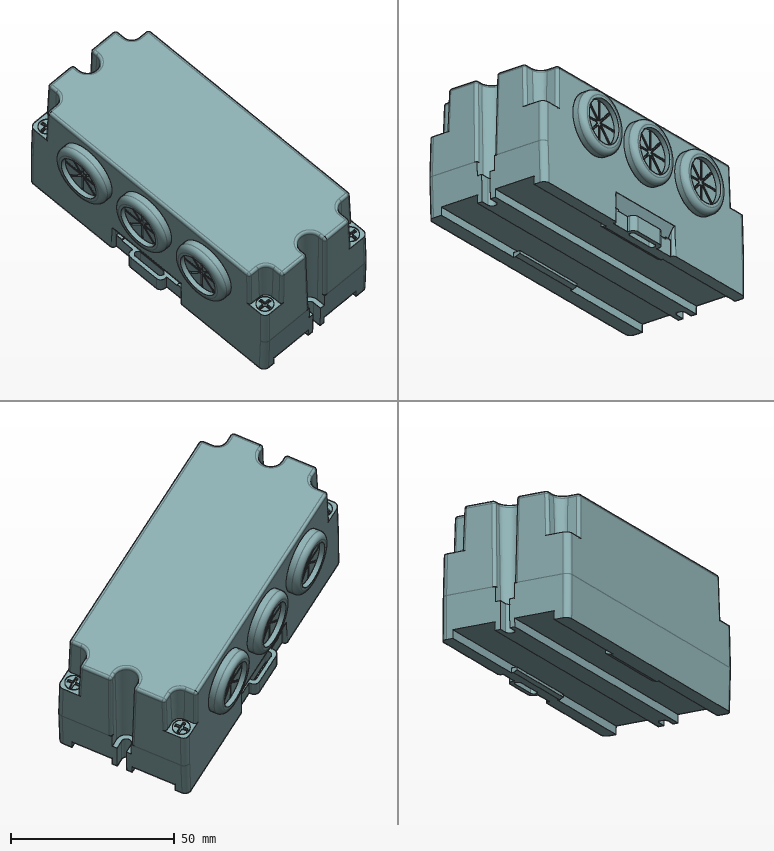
import cadquery as cq
import math

HEIGHT = 42.5
SPLIT_Z = 14.2
SPLIT_LENGTH = 102.36
SPLIT_HALF_WIDTH = 22.48
WALL_DRAFT = math.tan(math.radians(1.0))
CORNER_RADIUS = 2.0
LID_EDGE_RADIUS = 1.0

POCKET_FLOOR_Z = 27.8
POCKET_WALL_X = 44.2
POCKET_WALL_Y = 15.2
POCKET_RADIUS = 2.75
POCKET_DRAFT = 2.0

SCREW_X = 47.2
SCREW_Y = 18.55
SCREW_DIAMETER = 5.5
SCREW_SINK = 0.2
CROSS_SPAN = 4.2
CROSS_WIDTH = 0.9
CROSS_DEPTH = 1.0

NOTCH_FLOOR_Z = 9.3
NOTCH_CENTER_X = 48.1
NOTCH_RADIUS = 3.25
NOTCH_DRAFT = 1.0
SLOT_WIDTH = 3.2
SLOT_END_X = 46.4

GLAND_SPACING = 25.8
GLAND_Z = 29.0
GLAND_DIAMETER = 21.0
GLAND_FACE_Y = -26.24
GLAND_ROOT_DEPTH = 2.0
GLAND_RIM_RADIUS = 2.0
GLAND_MOUTH_DIAMETER = 15.0
MEMBRANE_Y = -24.5
SPOKE_COUNT = 8
SPOKE_LENGTH = 7.2
SPOKE_WIDTH = 0.6
SPOKE_DEPTH = 0.6
HUB_RADIUS = 1.2

CHANNEL_DEPTH = 2.8
RAIL_BACK_Y = 17.2
RAIL_FRONT_Y = -18.4
FOOT_BACK_Y = 3.35
FOOT_FRONT_Y = -3.55
BACK_HOOK_REACH = 2.5
FRONT_HOOK_REACH = 2.0
HOOK_TOP_Z = 1.6
HOOK_TIP_Z = 0.6

RECESS_HEIGHT = 10.3
RECESS_HALF_WIDTH = 14.4
RECESS_EDGE_RADIUS = 1.1
LATCH_FACE_Y = -21.3
LATCH_TOP_Z = 5.2
RECESS_BACK_Y = -19.7
LATCH_END_LENGTH = 2.4
LATCH_END_RISE = 0.6
TAB_LENGTH = 14.8
TAB_FACE_Y = -23.9
TAB_RADIUS = 1.9
TAB_RIM = 1.4
TAB_SLOT_LENGTH = 12.0
TAB_SLOT_WIDTH = 2.2

CUTTER_SIZE = 20.0
MARGIN = 5.0

FRONT_SPLIT_Y = -SPLIT_HALF_WIDTH
BODY_FRONT_Y = FRONT_SPLIT_Y - SPLIT_Z * WALL_DRAFT


def block(x0, x1, y0, y1, z0, z1):
    """Axis-aligned box between two opposite corners."""
    return cq.Workplane("XY").box(x1 - x0, y1 - y0, z1 - z0, centered=False).translate((x0, y0, z0))


def body_section(z):
    """Rectangle of the drafted shell at a level: the front wall is one plane, the others meet at the joint."""
    inset = abs(z - SPLIT_Z) * WALL_DRAFT
    half_length = SPLIT_LENGTH / 2 - inset
    front = FRONT_SPLIT_Y + (z - SPLIT_Z) * WALL_DRAFT
    back = SPLIT_HALF_WIDTH - inset
    return (
        cq.Sketch()
        .push([(0, (front + back) / 2)])
        .rect(2 * half_length, back - front)
        .reset()
        .vertices()
        .fillet(CORNER_RADIUS)
        .moved(cq.Location(cq.Vector(0, 0, z)))
    )


def drafted_body(z0, z1):
    return cq.Workplane("XY").placeSketch(body_section(z0), body_section(z1)).loft(ruled=True)


def screw_pocket(side_x, side_y):
    """Corner cutter that widens upward, with one rounded inner corner."""
    size = CUTTER_SIZE
    height = HEIGHT - POCKET_FLOOR_Z
    return (
        cq.Workplane("XY", origin=(0, 0, POCKET_FLOOR_Z))
        .center(side_x * (POCKET_WALL_X + size / 2), side_y * (POCKET_WALL_Y + size / 2))
        .sketch()
        .rect(size, size)
        .vertices()
        .fillet(POCKET_RADIUS)
        .finalize()
        .extrude(height, taper=-POCKET_DRAFT)
    )


def end_notch(side_x):
    """Round-bottomed notch in an end wall, open outward and widening upward."""
    length = CUTTER_SIZE
    return (
        cq.Workplane("XY", origin=(0, 0, NOTCH_FLOOR_Z))
        .center(side_x * (NOTCH_CENTER_X - NOTCH_RADIUS + length / 2), 0)
        .slot2D(length, 2 * NOTCH_RADIUS)
        .extrude(HEIGHT - NOTCH_FLOOR_Z, taper=-NOTCH_DRAFT)
    )


def end_slot(side_x):
    length = CUTTER_SIZE
    return (
        cq.Workplane("XY")
        .center(side_x * (SLOT_END_X + length / 2), 0)
        .slot2D(length, SLOT_WIDTH)
        .extrude(HEIGHT)
    )


def is_pocket_lip(edge):
    """True for an upright edge where a pocket or notch wall meets an outer wall."""
    box = edge.BoundingBox()
    center = edge.Center()
    reaches_up = box.zlen > (HEIGHT - POCKET_FLOOR_Z) / 2 and box.zmax > POCKET_FLOOR_Z + MARGIN
    on_end = abs(center.x) > SPLIT_LENGTH / 2 - LID_EDGE_RADIUS and abs(center.y) < POCKET_WALL_Y
    on_side = abs(center.y) > SPLIT_HALF_WIDTH - LID_EDGE_RADIUS and abs(center.x) < POCKET_WALL_X
    return reaches_up and (on_end or on_side)


def lid():
    """Upper shell with corner pockets and end notches, its edges rounded."""
    shell = drafted_body(SPLIT_Z, HEIGHT)
    for side_x in (-1, 1):
        shell = shell.cut(end_notch(side_x))
        for side_y in (-1, 1):
            shell = shell.cut(screw_pocket(side_x, side_y))
    shell = shell.edges().filter(is_pocket_lip).fillet(LID_EDGE_RADIUS)
    return shell.faces(">Z").edges().fillet(LID_EDGE_RADIUS)


def screw_recess(x, y):
    """Shallow seat of a screw head with its cross-shaped drive."""
    seat = (
        cq.Workplane("XY", origin=(x, y, POCKET_FLOOR_Z - SCREW_SINK))
        .circle(SCREW_DIAMETER / 2)
        .extrude(SCREW_SINK)
    )
    cross_plane = cq.Workplane("XY", origin=(x, y, POCKET_FLOOR_Z - SCREW_SINK - CROSS_DEPTH))
    along_x = cross_plane.rect(CROSS_SPAN, CROSS_WIDTH).extrude(CROSS_DEPTH)
    along_y = cross_plane.rect(CROSS_WIDTH, CROSS_SPAN).extrude(CROSS_DEPTH)
    return seat.union(along_x).union(along_y)


def gland(x):
    """Round grommet with a round mouth and a membrane weakened by radial grooves."""
    root_y = FRONT_SPLIT_Y + GLAND_ROOT_DEPTH
    rim = (
        cq.Workplane("XZ", origin=(x, root_y, GLAND_Z))
        .circle(GLAND_DIAMETER / 2)
        .extrude(root_y - GLAND_FACE_Y)
        .faces("<Y")
        .edges()
        .fillet(GLAND_RIM_RADIUS)
    )
    membrane = cq.Workplane("XZ", origin=(x, MEMBRANE_Y, GLAND_Z))
    mouth = membrane.circle(GLAND_MOUTH_DIAMETER / 2).extrude(MEMBRANE_Y - GLAND_FACE_Y)
    grooves = membrane.circle(HUB_RADIUS).extrude(-SPOKE_DEPTH)
    for index in range(SPOKE_COUNT):
        spoke = (
            membrane.transformed(rotate=(0, 0, index * 360 / SPOKE_COUNT))
            .center(SPOKE_LENGTH / 2, 0)
            .rect(SPOKE_LENGTH, SPOKE_WIDTH)
            .extrude(-SPOKE_DEPTH)
        )
        grooves = grooves.union(spoke)
    return rim.cut(mouth).cut(grooves)


def rail_channel(y0, y1):
    reach = SPLIT_LENGTH / 2 + MARGIN
    return block(-reach, reach, y0, y1, 0, CHANNEL_DEPTH)


def rail_hook(wall_y, reach):
    """Lip that grips a rail edge, bevelled underneath."""
    tip_y = wall_y + reach
    root_y = wall_y - reach / 2
    return (
        cq.Workplane("YZ", origin=(-RECESS_HALF_WIDTH, 0, 0))
        .moveTo(root_y, 0)
        .lineTo(wall_y + reach / 3, 0)
        .lineTo(tip_y, HOOK_TIP_Z)
        .lineTo(tip_y, HOOK_TOP_Z)
        .lineTo(root_y, HOOK_TOP_Z)
        .close()
        .extrude(2 * RECESS_HALF_WIDTH)
    )


def recess_plan():
    """Plan of the latch recess: straight sides that round off into the front wall."""
    outside_y = BODY_FRONT_Y - MARGIN
    mouth_half_width = RECESS_HALF_WIDTH + RECESS_EDGE_RADIUS
    round_end_y = BODY_FRONT_Y + RECESS_EDGE_RADIUS
    return (
        cq.Workplane("XY")
        .moveTo(-mouth_half_width, outside_y)
        .lineTo(-mouth_half_width, BODY_FRONT_Y)
        .radiusArc((-RECESS_HALF_WIDTH, round_end_y), -RECESS_EDGE_RADIUS)
        .lineTo(-RECESS_HALF_WIDTH, RECESS_BACK_Y)
        .lineTo(RECESS_HALF_WIDTH, RECESS_BACK_Y)
        .lineTo(RECESS_HALF_WIDTH, round_end_y)
        .radiusArc((mouth_half_width, BODY_FRONT_Y), -RECESS_EDGE_RADIUS)
        .lineTo(mouth_half_width, outside_y)
        .close()
        .extrude(RECESS_HEIGHT)
    )


def latch_recess():
    """Opening above and in front of the latch plate, with a sloped roof."""
    outside_y = BODY_FRONT_Y - MARGIN
    profile = (
        cq.Workplane("YZ", origin=(-RECESS_HALF_WIDTH - MARGIN, 0, 0))
        .moveTo(outside_y, 0)
        .lineTo(LATCH_FACE_Y, 0)
        .lineTo(LATCH_FACE_Y, LATCH_TOP_Z)
        .lineTo(RECESS_BACK_Y, LATCH_TOP_Z)
        .lineTo(FRONT_SPLIT_Y, RECESS_HEIGHT)
        .lineTo(outside_y, RECESS_HEIGHT)
        .close()
        .extrude(2 * (RECESS_HALF_WIDTH + MARGIN))
    )
    return profile.intersect(recess_plan())


def latch_tab():
    half = TAB_LENGTH / 2
    return (
        block(-half, half, TAB_FACE_Y, RECESS_BACK_Y, 0, LATCH_TOP_Z)
        .edges("|Z and <Y")
        .fillet(TAB_RADIUS)
    )


def latch_tab_slot():
    center_y = TAB_FACE_Y + TAB_RIM + TAB_SLOT_WIDTH / 2
    return (
        cq.Workplane("XY")
        .center(0, center_y)
        .slot2D(TAB_SLOT_LENGTH, TAB_SLOT_WIDTH)
        .extrude(LATCH_TOP_Z)
    )


def latch_end(side_x):
    """Small raised pad at one end of the latch plate."""
    outer = side_x * RECESS_HALF_WIDTH
    inner = side_x * (RECESS_HALF_WIDTH - LATCH_END_LENGTH)
    top = LATCH_TOP_Z + LATCH_END_RISE
    return block(min(outer, inner), max(outer, inner), LATCH_FACE_Y, RECESS_BACK_Y, LATCH_TOP_Z, top)


result = drafted_body(0, SPLIT_Z).union(lid())

for side_x in (-1, 1):
    lower_notch = end_notch(side_x).intersect(
        block(-SPLIT_LENGTH, SPLIT_LENGTH, -SPLIT_HALF_WIDTH, SPLIT_HALF_WIDTH, 0, SPLIT_Z)
    )
    result = result.cut(lower_notch).cut(end_slot(side_x))
    for side_y in (-1, 1):
        result = result.cut(screw_recess(side_x * SCREW_X, side_y * SCREW_Y))

for step in (-1, 0, 1):
    result = result.union(gland(step * GLAND_SPACING))

result = result.cut(rail_channel(RAIL_FRONT_Y, FOOT_FRONT_Y))
result = result.cut(rail_channel(FOOT_BACK_Y, RAIL_BACK_Y))
result = result.union(rail_hook(RAIL_BACK_Y, -BACK_HOOK_REACH))
result = result.union(rail_hook(RAIL_FRONT_Y, FRONT_HOOK_REACH))

result = result.cut(latch_recess())
result = result.union(latch_tab()).cut(latch_tab_slot())
for side_x in (-1, 1):
    result = result.union(latch_end(side_x))